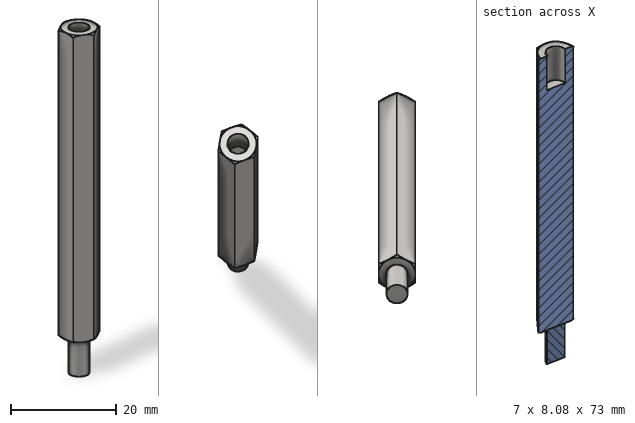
import cadquery as cq
import math

total_length = 73.0
stud_length = 8.0
across_flats = 7.0
thread_diameter = 4.0

hole_depth = 8.0
corner_chamfer_angle = 30.0

spacer_length = total_length - stud_length
across_corners = across_flats / math.cos(math.pi / 6)
corner_chamfer_height = (
    (across_corners - across_flats) / 2 * math.tan(math.radians(corner_chamfer_angle))
)


def corner_chamfer_envelope():
    """Turned blank whose conical ends cut back the hexagon corners."""
    face_radius = across_flats / 2
    corner_radius = across_corners / 2
    return (
        cq.Workplane("XZ")
        .moveTo(0, stud_length)
        .lineTo(face_radius, stud_length)
        .lineTo(corner_radius, stud_length + corner_chamfer_height)
        .lineTo(corner_radius, total_length - corner_chamfer_height)
        .lineTo(face_radius, total_length)
        .lineTo(0, total_length)
        .close()
        .revolve(360, (0, 0), (0, 1))
    )


def make_spacer():
    """Hexagonal spacer with chamfered corners and a blind hole on top."""
    hexagon = (
        cq.Workplane("XY")
        .workplane(offset=stud_length)
        .polygon(6, across_corners)
        .extrude(spacer_length)
        .rotate((0, 0, 0), (0, 0, 1), 30)
    )
    top_hole = (
        cq.Workplane("XY")
        .workplane(offset=total_length - hole_depth)
        .circle(thread_diameter / 2)
        .extrude(hole_depth)
    )
    return hexagon.intersect(corner_chamfer_envelope()).cut(top_hole)


def make_stud():
    """Plain round stud that meets the lower end face of the spacer."""
    return cq.Workplane("XY").circle(thread_diameter / 2).extrude(stud_length)


spacer = make_spacer()
stud = make_stud()
result = cq.Compound.makeCompound([spacer.val(), stud.val()])